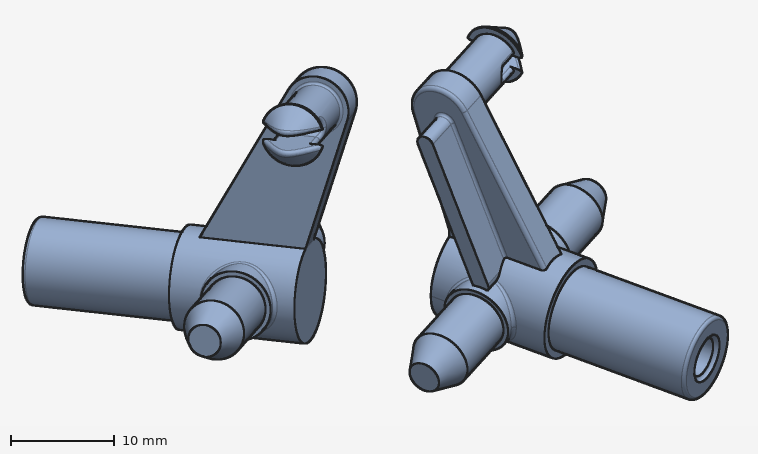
import cadquery as cq
import math

pick_margin = 0.03

body_radius = 5.1
body_start = -7.0
body_end = 5.63
pipe_radius = 4.3
pipe_start = -22.13
pipe_edge_fillet = 0.35
bore_mouth_radius = 1.95
bore_inner_radius = 1.55
bore_mouth_fillet = 0.45

arm_reach = 16.08
arm_radius = 3.02
arm_taper_start = 13.0
arm_tip_radius = 1.65
collar_radius = 3.55
collar_reach = 6.08
collar_fillet = 0.35

plate_half_thickness = 1.55
plate_foot_left = -5.05
plate_foot_depth = 2.57
plate_edge_fillet = 0.42
head_x = 6.72
head_z = 19.45
head_radius = 3.25

rib_half_width = 0.9
rib_back = 5.3
rib_top_x = 6.1
rib_top_z = 18.85
rib_foot_x = 0.0
rib_foot_z = 3.85
rib_root_fillet = 0.3

pin_radius = 2.45
pin_root_fillet = 0.25
barb_radius = 3.15
barb_start = 9.1
barb_lip = 0.2
barb_apex = 13.7
slot_half_width = 0.75
slot_end_centre = 7.2
slot_edge_fillet = 0.4
jaw_rounding = 0.35


def make_body():
    """Stepped tube turned about the X axis."""
    pipe = (
        cq.Workplane("YZ", origin=(pipe_start, 0, 0))
        .circle(pipe_radius)
        .extrude(body_end - pipe_start)
        .faces("<X")
        .fillet(pipe_edge_fillet)
    )
    body = cq.Workplane("YZ", origin=(body_start, 0, 0)).circle(body_radius).extrude(body_end - body_start)
    return pipe.union(body)


def make_collars():
    """Short thick cylinder through the body, carrying both arms."""
    return cq.Workplane("XZ").circle(collar_radius).extrude(collar_reach, both=True)


def make_arms():
    """Pair of round arms with conical tips, turned about the Y axis."""
    profile = [
        (0, -arm_reach),
        (arm_tip_radius, -arm_reach),
        (arm_radius, -arm_taper_start),
        (arm_radius, arm_taper_start),
        (arm_tip_radius, arm_reach),
        (0, arm_reach),
    ]
    return cq.Workplane("XY").polyline(profile).close().revolve(360, (0, 0), (0, 1))


def tangent_point(foot_x, foot_z, side):
    """Point where a line from the foot touches the head; side is 1 for left, -1 for right."""
    dx = head_x - foot_x
    dz = head_z - foot_z
    tilt = math.asin(head_radius / math.hypot(dx, dz))
    direction = math.atan2(dz, dx) + side * tilt
    normal = direction + side * math.pi / 2
    return (head_x + head_radius * math.cos(normal), head_z + head_radius * math.sin(normal))


def make_plate():
    """Tapered plate with a round head tangent to both sloping sides."""
    foot_z = math.sqrt(body_radius**2 - plate_half_thickness**2)
    left = tangent_point(plate_foot_left, foot_z, 1)
    right = tangent_point(body_end, foot_z, -1)
    plate = (
        cq.Workplane("XZ", origin=(0, plate_half_thickness, 0))
        .moveTo(plate_foot_left, plate_foot_depth)
        .lineTo(plate_foot_left, foot_z)
        .lineTo(*left)
        .threePointArc((head_x, head_z + head_radius), right)
        .lineTo(body_end, foot_z)
        .lineTo(body_end, plate_foot_depth)
        .close()
        .extrude(2 * plate_half_thickness)
    )
    rounded_edges = cq.selectors.BoxSelector(
        (body_start, plate_half_thickness - pick_margin, foot_z + pick_margin),
        (head_x + 2 * head_radius, plate_half_thickness + pick_margin, head_z + 2 * head_radius),
    )
    return plate.edges(rounded_edges).fillet(plate_edge_fillet)


def make_rib():
    """Leaning bar with round ends, running from inside the plate to beyond the body."""
    dx = rib_top_x - rib_foot_x
    dz = rib_top_z - rib_foot_z
    angle = math.degrees(math.atan2(dz, dx))
    return (
        cq.Workplane("XZ")
        .center((rib_top_x + rib_foot_x) / 2, (rib_top_z + rib_foot_z) / 2)
        .slot2D(math.hypot(dx, dz) + 2 * rib_half_width, 2 * rib_half_width, angle)
        .extrude(-rib_back)
    )


def make_stem():
    """Round pin stem with a flared root, split by a round-ended slot with rounded edges."""
    root = -plate_half_thickness
    stem = (
        cq.Workplane("XY", origin=(head_x, 0, head_z))
        .moveTo(0, 0)
        .lineTo(pin_radius + pin_root_fillet, 0)
        .lineTo(pin_radius + pin_root_fillet, root)
        .radiusArc((pin_radius, root - pin_root_fillet), -pin_root_fillet)
        .lineTo(pin_radius, -barb_start)
        .lineTo(0, -barb_start)
        .close()
        .revolve(360, (0, 0), (0, 1))
    )
    slot = (
        cq.Workplane("YZ", origin=(head_x, 0, head_z))
        .moveTo(-barb_start, -slot_half_width)
        .lineTo(-slot_end_centre, -slot_half_width)
        .threePointArc((-slot_end_centre + slot_half_width, 0), (-slot_end_centre, slot_half_width))
        .lineTo(-barb_start, slot_half_width)
        .close()
        .extrude(barb_radius, both=True)
    )
    slot_top = slot_half_width + pick_margin
    slot_region = cq.selectors.BoxSelector(
        (head_x - barb_radius, -barb_start + pick_margin, head_z - slot_top),
        (head_x + barb_radius, -slot_end_centre + slot_top, head_z + slot_top),
    )
    return stem.cut(slot).edges(slot_region).edges("not(|X)").fillet(slot_edge_fillet)


def make_barb():
    """Two halves of the conical snap head, with the slot edges rounded along the cone."""
    cone_slope = barb_radius / (barb_apex - barb_start - barb_lip)
    core_apex = barb_apex - jaw_rounding * math.hypot(1, cone_slope) / cone_slope
    core_base = slot_end_centre
    core_radius = cone_slope * (core_apex - core_base)
    core_cone = (
        cq.Workplane("XY", origin=(head_x, 0, head_z))
        .polyline([(0, -core_base), (core_radius, -core_base), (0, -core_apex)])
        .close()
        .revolve(360, (0, 0), (0, 1))
    )
    core_side = (
        cq.Workplane("XY", origin=(head_x, 0, head_z + slot_half_width + jaw_rounding))
        .rect(4 * barb_apex, 4 * barb_apex)
        .extrude(core_radius)
    )
    core = core_cone.intersect(core_side)
    jaw = core.union(core.shell(jaw_rounding, kind="arc"))
    rim = (
        cq.Workplane("XZ", origin=(head_x, -barb_start, head_z))
        .circle(barb_radius)
        .extrude(barb_apex - barb_start)
    )
    upper = jaw.intersect(rim)
    lower = upper.mirror("XY", (head_x, 0, head_z))
    return upper.union(lower)


def make_bore():
    """Tapered hole from the pipe end to the arm core, with a rounded mouth."""
    return (
        cq.Workplane("XY")
        .moveTo(pipe_start, 0)
        .lineTo(pipe_start, bore_mouth_radius + bore_mouth_fillet)
        .radiusArc((pipe_start + bore_mouth_fillet, bore_mouth_radius), bore_mouth_fillet)
        .lineTo(0, bore_inner_radius)
        .lineTo(0, 0)
        .close()
        .revolve(360, (0, 0), (1, 0))
    )


def make_lever():
    """Plate and rib joined, with a fillet along the rib's root."""
    lever = make_plate().union(make_rib())
    rib_root = cq.selectors.BoxSelector(
        (rib_foot_x, plate_half_thickness - pick_margin, body_radius),
        (head_x, plate_half_thickness + pick_margin, head_z + rib_half_width),
    )
    return lever.edges(rib_root).fillet(rib_root_fillet)


hub = make_body().union(make_collars())
collar_joints = cq.selectors.BoxSelector(
    (-collar_radius, -body_radius, -collar_radius),
    (collar_radius, body_radius, collar_radius),
)
hub = hub.edges(collar_joints).fillet(collar_fillet)

hub = hub.cut(make_bore()).union(make_arms())
result = hub.union(make_lever()).union(make_stem()).union(make_barb())